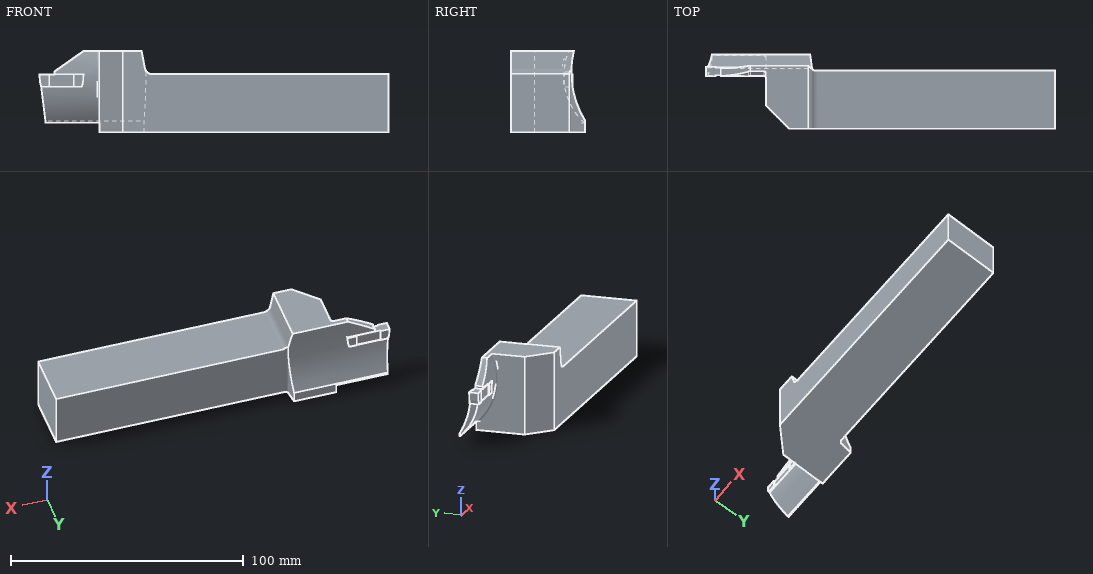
import cadquery as cq
import math

LENGTH = 150.0
SHANK = 25.0
HEAD_HEIGHT = 35.0
BACK_Y = 32.0
BLOCK_X = 25.8
CORNER_CHAMFER = 10.0
HEAD_END_X = 44.0
HEAD_END_SLOPE = 11.0
BACK_END_X = 44.8
BACK_END_SLOPE = 8.0
ROOT_RADIUS = 3.0
BACK_ROOT_RADIUS = 1.2

FRONT_TOP_Y = 24.8
FRONT_MIDDLE = (22.6, 23.2)
FRONT_BOTTOM_Y = 31.5
BACK_TOP_Y = 27.2
BACK_MIDDLE = (26.1, 24.0)
BACK_BOTTOM_Z = 5.0
BLADE_BOTTOM = 4.0
BLADE_BOTTOM_X = 2.7
BLADE_TOP_X = 19.0
JAW_X = 6.5
JAW_TOP = 26.1
BLADE_FILLET = 0.9
BLADE_ROOT_X = BLOCK_X + 1.5

INSERT_TOP = 24.9
INSERT_BOTTOM = 19.6
INSERT_LENGTH = 19.0
INSERT_END_LENGTH = 4.2
INSERT_FRONT_Y = 22.5
INSERT_BACK_Y = 26.7
WAIST_RELIEF = 0.5
TIP_RELIEF = 0.8
KINK_RELIEF = 0.3
KINK_Z = 21.5


def extrude_y(points, y_start, y_end):
    """Extrude an (X, Z) polygon from y_start to y_end."""
    plane = cq.Workplane("XZ", origin=(0, y_start, 0))
    return plane.polyline(points).close().extrude(y_start - y_end)


def curved_section(x_start, x_end, front_face):
    """Section bounded at the rear by the concave arc; front_face draws its front side upwards."""
    section = front_face(cq.Workplane("YZ", origin=(x_start, 0, 0)))
    section = section.lineTo(BACK_TOP_Y, HEAD_HEIGHT)
    section = section.threePointArc(BACK_MIDDLE, (BACK_Y, BACK_BOTTOM_Z))
    return section.close().extrude(x_end - x_start)


def block_front(plane):
    return plane.moveTo(BACK_Y, 0).lineTo(0, 0).lineTo(0, HEAD_HEIGHT)


def blade_front(plane):
    plane = plane.moveTo(BACK_Y, BLADE_BOTTOM).lineTo(FRONT_BOTTOM_Y, BLADE_BOTTOM)
    return plane.threePointArc(FRONT_MIDDLE, (FRONT_TOP_Y, HEAD_HEIGHT))


def make_block():
    """Shank and head, with sloped, filleted transitions between them."""
    slope_shift = (HEAD_HEIGHT - SHANK) * math.tan(math.radians(HEAD_END_SLOPE))
    profile = [
        (BLOCK_X, 0), (LENGTH, 0), (LENGTH, SHANK), (HEAD_END_X + slope_shift, SHANK),
        (HEAD_END_X, HEAD_HEIGHT), (BLOCK_X, HEAD_HEIGHT),
    ]
    side = extrude_y(profile, 0, BACK_Y)
    root = cq.selectors.NearestToPointSelector((HEAD_END_X + slope_shift, BACK_Y / 2, SHANK))
    side = side.edges(root).fillet(ROOT_RADIUS)

    back_shift = (BACK_Y - SHANK) * math.tan(math.radians(BACK_END_SLOPE))
    plan = [
        (BLOCK_X, CORNER_CHAMFER), (BLOCK_X + CORNER_CHAMFER, 0), (LENGTH, 0), (LENGTH, SHANK),
        (BACK_END_X + back_shift, SHANK), (BACK_END_X, BACK_Y), (BLOCK_X, BACK_Y),
    ]
    outline = cq.Workplane("XY").polyline(plan).close().extrude(HEAD_HEIGHT)
    root = cq.selectors.NearestToPointSelector((BACK_END_X + back_shift, SHANK, HEAD_HEIGHT / 2))
    outline = outline.edges(root).fillet(BACK_ROOT_RADIUS)
    return side.intersect(outline).intersect(curved_section(BLOCK_X, LENGTH, block_front))


def make_blade():
    """Thin curved blade with a leaning front edge and a sloped jaw."""
    lean = (BLADE_BOTTOM_X - TIP_RELIEF) / (INSERT_BOTTOM - BLADE_BOTTOM)
    seat_x = BLADE_BOTTOM_X - lean * (INSERT_TOP - BLADE_BOTTOM)
    profile = [
        (BLADE_BOTTOM_X, BLADE_BOTTOM), (BLADE_ROOT_X, BLADE_BOTTOM), (BLADE_ROOT_X, HEAD_HEIGHT),
        (BLADE_TOP_X, HEAD_HEIGHT), (JAW_X, JAW_TOP), (JAW_X, INSERT_TOP), (seat_x, INSERT_TOP),
    ]
    return curved_section(0, BLADE_ROOT_X, blade_front).intersect(extrude_y(profile, 0, BACK_Y))


def insert_blank(y_start, y_end):
    """Full-width insert shape between two Y positions."""
    profile = [
        (TIP_RELIEF, INSERT_BOTTOM), (INSERT_LENGTH - TIP_RELIEF, INSERT_BOTTOM),
        (INSERT_LENGTH - KINK_RELIEF, KINK_Z), (INSERT_LENGTH, INSERT_TOP),
        (0, INSERT_TOP), (KINK_RELIEF, KINK_Z),
    ]
    return extrude_y(profile, y_start, y_end)


def make_holder():
    """Tool holder with the insert seat open through the blade."""
    holder = make_block().union(make_blade())
    junction = cq.selectors.NearestToPointSelector((BLOCK_X, *FRONT_MIDDLE))
    holder = holder.edges(junction).fillet(BLADE_FILLET)
    return holder.cut(insert_blank(0, BACK_Y))


def make_insert():
    """Double-ended cutting insert with a narrow waist."""
    insert = insert_blank(INSERT_FRONT_Y, INSERT_BACK_Y)
    waist_length = INSERT_LENGTH - 2 * INSERT_END_LENGTH
    for face_y in (INSERT_FRONT_Y, INSERT_BACK_Y):
        relief = cq.Workplane("XY").box(waist_length, 2 * WAIST_RELIEF, HEAD_HEIGHT)
        insert = insert.cut(relief.translate((INSERT_LENGTH / 2, face_y, HEAD_HEIGHT / 2)))
    return insert


holder = make_holder()
insert = make_insert()
result = cq.Compound.makeCompound([holder.solids().val(), insert.solids().val()])